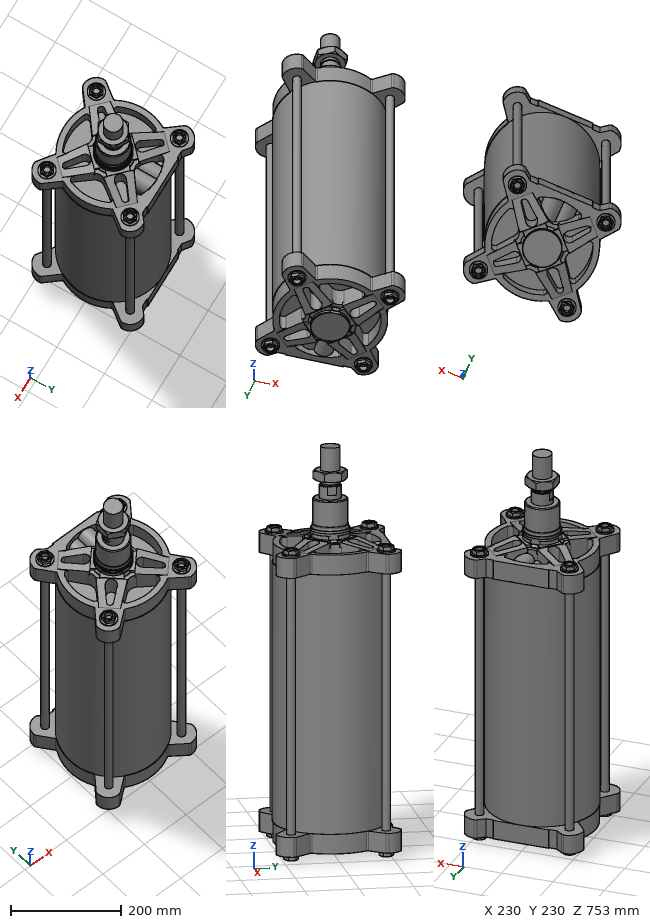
import cadquery as cq
import math

SPIGOT_HEIGHT = 6.0
BODY_LENGTH = 580.0
REAR_HUB_Z = SPIGOT_HEIGHT
FRONT_HUB_Z = REAR_HUB_Z + BODY_LENGTH
MID_Z = (REAR_HUB_Z + FRONT_HUB_Z) / 2
HUB_RISE = 11.0
COVER_TOP = FRONT_HUB_Z - HUB_RISE
COVER_HEIGHT = 37.0
COVER_BOTTOM = COVER_TOP - COVER_HEIGHT
SHOULDER_Z = FRONT_HUB_Z + 95.0
THREAD_LENGTH = 72.0
ROD_TOP = SHOULDER_Z + THREAD_LENGTH

BARREL_DIAMETER = 210.0
TIE_SPACING = 175.0
TIE_DIAMETER = 16.0
TIE_THREAD_CORE = 13.84
TIE_RADIUS = TIE_SPACING / math.sqrt(2)
TIE_AXES = [(x * TIE_SPACING / 2, y * TIE_SPACING / 2) for x in (-1, 1) for y in (-1, 1)]
SEAT_DIAMETER = 33.0
SEAT_HEIGHT = 2.5
TIE_NUT_FLATS = 24.0
TIE_NUT_CHAMFER_DIAMETER = 21.0

COVER_RADIUS = 104.0
EAR_RADIUS = 27.5
EAR_ROOT = 80.0
EAR_ROOT_HALF_WIDTH = 29.6
EAR_TIP_HALF_WIDTH = 21.5
EAR_TIP_FILLET = 8.0
EAR_ROOT_FILLET = 3.5
RIM_TOLERANCE = 0.5
PORT_FACE_Y = 105.0
PORT_FACE_HALF_WIDTH = 54.0
PORT_SIDE_Y = 103.0
PORT_SIDE_HALF_WIDTH = 70.0
PORT_BLOCK_START_Y = 80.0

POCKET_RADIUS = 92.0
POCKET_CORNER_RADIUS = 6.5
POCKET_DEPTH = 32.0
POCKET_INNER_RADIUS = 19.0
HUB_RADIUS = 50.0
HUB_TOP_DROP = 5.5
HUB_FOOT_RADIUS = 40.0
PAD_REACH = 41.0
PAD_HALF_WIDTH = 22.0

RIB_TOP_DROP = 1.5
RIB_START = 25.0
RIB_START_HALF_WIDTH = 30.8
RIB_END = 100.0
RIB_END_HALF_WIDTH = 19.7
RIB_SLOT_INNER_RADIUS = 11.0
RIB_SLOT_INNER_CENTER = 53.0
RIB_SLOT_OUTER_RADIUS = 6.5
RIB_SLOT_OUTER_CENTER = 88.0

BOSS_DIAMETER = 36.0
BOSS_START_Y = 40.0
PORT_BOSS_X = 13.0
PORT_BOSS_AXIS_DROP = 20.0
SCREW_BOSS_X = -16.0
SCREW_BOSS_AXIS_DROP = 30.0

SPIGOT_DIAMETER = 72.0
SPIGOT_GROOVE_DIAMETER = 71.0
FRONT_SPIGOT_HEIGHT = 16.0
SPIGOT_GROOVE_START = 7.0
SPIGOT_GROOVE_END = 11.5
SPIGOT_CHAMFER = 1.0
SPIGOT_FLAT_REACH = 34.8
SLEEVE_DIAMETER = 64.0
SLEEVE_COLLAR_DIAMETER = 66.0
SLEEVE_FOOT_DIAMETER = 68.0
SLEEVE_CONE_TOP = FRONT_HUB_Z + 20.5
SLEEVE_COLLAR_TOP = FRONT_HUB_Z + 23.0
SLEEVE_TOP = FRONT_HUB_Z + 71.0
SLEEVE_CHAMFER = 2.0

ROD_DIAMETER = 40.0
ROD_CHAMFER = 0.5
ROD_FLATS = 36.0
ROD_FLATS_LENGTH = 16.0
ROD_BORE_BOTTOM = COVER_BOTTOM
THREAD_DIAMETER = 36.0
RELIEF_DIAMETER = 33.84
RELIEF_LENGTH = 2.5
NUT_FLATS = 55.0
NUT_HEIGHT = 18.0
NUT_BOTTOM = SHOULDER_Z + 10.0
NUT_CHAMFER_DIAMETER = 55.0

QUARTER_TURNS = (0, 90, 180, 270)
DIAGONAL_ANGLE = 45
HEX_HALF_SECTOR = 30
HEX_CORNER_RATIO = 1 / math.cos(math.radians(HEX_HALF_SECTOR))
NUT_CHAMFER_ANGLE = 30
CHAMFER_SLOPE = math.tan(math.radians(NUT_CHAMFER_ANGLE))


def cylinder(diameter, bottom, top, x=0.0, y=0.0):
    return cq.Workplane("XY", origin=(x, y, bottom)).circle(diameter / 2).extrude(top - bottom)


def turned_copies(shape, first_angle):
    """Four copies of a shape drawn along +X, a quarter turn apart."""
    copies = cq.Workplane("XY")
    for turn in QUARTER_TURNS:
        copies = copies.add(shape.rotate((0, 0, 0), (0, 0, 1), first_angle + turn))
    return copies.combine()


def on_diagonals(shape):
    return turned_copies(shape, DIAGONAL_ANGLE)


def taper_outline(start, start_half_width, end, end_half_width, bottom):
    """Trapezoid along +X with its axis on the X axis."""
    corners = [
        (start, -start_half_width),
        (end, -end_half_width),
        (end, end_half_width),
        (start, start_half_width),
    ]
    return cq.Workplane("XY", origin=(0, 0, bottom)).polyline(corners).close()


def hexagon(flats, bottom, height):
    """Hexagonal prism with two flats facing +X and -X."""
    corner_diameter = flats * HEX_CORNER_RATIO
    prism = cq.Workplane("XY").polygon(6, corner_diameter).extrude(height)
    return prism.rotate((0, 0, 0), (0, 0, 1), HEX_HALF_SECTOR).translate((0, 0, bottom))


def chamfer_profile(flats, chamfer_diameter, bottom, height, both_ends):
    """Turned blank whose conical ends chamfer a hexagon's corners."""
    corner_radius = flats * HEX_CORNER_RATIO / 2
    end_radius = chamfer_diameter / 2
    rise = (corner_radius - end_radius) * CHAMFER_SLOPE
    top = bottom + height
    profile = cq.Workplane("XZ").moveTo(0, bottom)
    if both_ends:
        profile = profile.lineTo(end_radius, bottom).lineTo(corner_radius, bottom + rise)
    else:
        profile = profile.lineTo(corner_radius, bottom)
    profile = profile.lineTo(corner_radius, top - rise).lineTo(end_radius, top).lineTo(0, top)
    return profile.close().revolve(360, (0, 0, 0), (0, 1, 0))


def make_flange():
    tip = TIE_RADIUS + math.sqrt(EAR_RADIUS**2 - EAR_TIP_HALF_WIDTH**2)
    ear = (
        cq.Workplane("XY", origin=(0, 0, COVER_BOTTOM))
        .moveTo(EAR_ROOT, -EAR_ROOT_HALF_WIDTH)
        .lineTo(tip, -EAR_TIP_HALF_WIDTH)
        .threePointArc((TIE_RADIUS + EAR_RADIUS, 0), (tip, EAR_TIP_HALF_WIDTH))
        .lineTo(EAR_ROOT, EAR_ROOT_HALF_WIDTH)
        .close()
        .extrude(COVER_HEIGHT)
        .edges("|Z")
        .edges(">X")
        .fillet(EAR_TIP_FILLET)
    )
    disc = cylinder(2 * COVER_RADIUS, COVER_BOTTOM, COVER_TOP)
    flange = disc.union(on_diagonals(ear))

    def is_ear_root(edge):
        center = edge.Center()
        off_rim = abs(math.hypot(center.x, center.y) - COVER_RADIUS)
        return off_rim < RIM_TOLERANCE and center.y < PORT_BLOCK_START_Y

    flange = flange.edges("|Z").filter(is_ear_root).fillet(EAR_ROOT_FILLET)
    blocks = ((PORT_FACE_HALF_WIDTH, PORT_FACE_Y), (PORT_SIDE_HALF_WIDTH, PORT_SIDE_Y))
    for half_width, face_y in blocks:
        block = cq.Workplane("XY").box(
            2 * half_width, face_y - PORT_BLOCK_START_Y, COVER_HEIGHT, centered=(True, False, False)
        )
        flange = flange.union(block.translate((0, PORT_BLOCK_START_Y, COVER_BOTTOM)))
    return flange


def make_pockets():
    """Four pockets whose sides follow the rib sides, open to the front."""
    floor = COVER_TOP - POCKET_DEPTH
    rib_lean = (RIB_START_HALF_WIDTH - RIB_END_HALF_WIDTH) / (RIB_END - RIB_START)
    meeting = (RIB_START_HALF_WIDTH + rib_lean * RIB_START) / (1 + rib_lean)
    apex = meeting * math.sqrt(2)
    half_angle = math.radians(DIAGONAL_ANGLE) + math.atan(rib_lean)
    half_width = (POCKET_RADIUS - apex) * math.tan(half_angle)
    pocket = (
        cq.Workplane("XY", origin=(0, 0, floor))
        .polyline([(apex, 0), (POCKET_RADIUS, -half_width), (POCKET_RADIUS, half_width)])
        .close()
        .extrude(FRONT_HUB_Z - floor)
        .intersect(cylinder(2 * POCKET_RADIUS, floor, FRONT_HUB_Z))
    )
    pocket = pocket.edges("|Z").edges("<X").fillet(POCKET_INNER_RADIUS)
    pocket = pocket.edges("|Z").edges("<Y or >Y").fillet(POCKET_CORNER_RADIUS)
    return turned_copies(pocket, 0)


def make_bosses():
    """Two round-topped bosses running along Y through the pocket on the port side."""
    floor = COVER_TOP - POCKET_DEPTH
    radius = BOSS_DIAMETER / 2
    bosses = cq.Workplane("XY")
    for x, drop in ((PORT_BOSS_X, PORT_BOSS_AXIS_DROP), (SCREW_BOSS_X, SCREW_BOSS_AXIS_DROP)):
        axis_z = COVER_TOP - drop
        boss = (
            cq.Workplane("XZ", origin=(0, BOSS_START_Y, 0))
            .moveTo(x - radius, floor)
            .lineTo(x - radius, axis_z)
            .threePointArc((x, axis_z + radius), (x + radius, axis_z))
            .lineTo(x + radius, floor)
            .close()
            .extrude(BOSS_START_Y - POCKET_RADIUS)
        )
        bosses = bosses.add(boss)
    return bosses.combine()


def make_ribs():
    """Ribs whose tops slope down from the hub pads to the flange face."""
    outline = taper_outline(RIB_START, RIB_START_HALF_WIDTH, RIB_END, RIB_END_HALF_WIDTH, COVER_TOP)
    rib_top = FRONT_HUB_Z - RIB_TOP_DROP
    slope = (
        cq.Workplane("XZ", origin=(0, RIB_START_HALF_WIDTH, 0))
        .polyline([(PAD_REACH, COVER_TOP), (RIB_END, COVER_TOP), (PAD_REACH, rib_top)])
        .close()
        .extrude(2 * RIB_START_HALF_WIDTH)
    )
    return on_diagonals(outline.extrude(HUB_RISE).intersect(slope))


def make_rib_slots():
    """Tapered slots with round ends, one along each rib."""
    spacing = RIB_SLOT_OUTER_CENTER - RIB_SLOT_INNER_CENTER
    lean = math.asin((RIB_SLOT_INNER_RADIUS - RIB_SLOT_OUTER_RADIUS) / spacing)
    inner_x = RIB_SLOT_INNER_CENTER + RIB_SLOT_INNER_RADIUS * math.sin(lean)
    inner_y = RIB_SLOT_INNER_RADIUS * math.cos(lean)
    outer_x = RIB_SLOT_OUTER_CENTER + RIB_SLOT_OUTER_RADIUS * math.sin(lean)
    outer_y = RIB_SLOT_OUTER_RADIUS * math.cos(lean)
    slot = (
        cq.Workplane("XY", origin=(0, 0, COVER_TOP - POCKET_DEPTH))
        .moveTo(inner_x, -inner_y)
        .lineTo(outer_x, -outer_y)
        .threePointArc((RIB_SLOT_OUTER_CENTER + RIB_SLOT_OUTER_RADIUS, 0), (outer_x, outer_y))
        .lineTo(inner_x, inner_y)
        .threePointArc((RIB_SLOT_INNER_CENTER - RIB_SLOT_INNER_RADIUS, 0), (inner_x, -inner_y))
        .close()
        .extrude(POCKET_DEPTH + HUB_RISE)
    )
    return on_diagonals(slot)


def make_hub():
    core = cylinder(2 * HUB_RADIUS, COVER_TOP, FRONT_HUB_Z - HUB_TOP_DROP)
    pad = taper_outline(0, PAD_HALF_WIDTH, PAD_REACH, PAD_HALF_WIDTH, COVER_TOP).extrude(HUB_RISE)
    foot = (
        cylinder(2 * HUB_FOOT_RADIUS, COVER_TOP, FRONT_HUB_Z)
        .faces(">Z")
        .chamfer(HUB_FOOT_RADIUS - SPIGOT_DIAMETER / 2)
    )
    return core.union(foot).union(on_diagonals(pad))


def make_tie_ends():
    """Raised seat and chamfered nut with a countersunk thread hole on each ear."""
    seat_top = COVER_TOP + SEAT_HEIGHT
    nut_height = FRONT_HUB_Z - seat_top
    seat = cylinder(SEAT_DIAMETER, COVER_TOP, seat_top)
    nut = hexagon(TIE_NUT_FLATS, seat_top, nut_height).intersect(
        chamfer_profile(TIE_NUT_FLATS, TIE_NUT_CHAMFER_DIAMETER, seat_top, nut_height, both_ends=False)
    )
    thread_hole = cylinder(TIE_THREAD_CORE, COVER_TOP, FRONT_HUB_Z)
    tie_end = seat.union(nut).cut(thread_hole)
    hole_rims = tie_end.edges("%CIRCLE").edges(cq.selectors.RadiusNthSelector(0))
    tie_end = hole_rims.edges(">Z").chamfer((TIE_DIAMETER - TIE_THREAD_CORE) / 2)
    ends = cq.Workplane("XY")
    for x, y in TIE_AXES:
        ends = ends.add(tie_end.translate((x, y, 0)))
    return ends.combine()


def make_cover():
    cover = make_flange().union(make_ribs()).union(make_hub())
    cover = cover.cut(make_pockets()).union(make_bosses())
    return cover.cut(make_rib_slots()).union(make_tie_ends())


def cut_spigot_flats(spigot, bottom, top):
    """Four flats facing +X, +Y, -X and -Y between two heights."""
    side = 2 * SPIGOT_FLAT_REACH
    ring = cylinder(SPIGOT_DIAMETER, bottom, top)
    square = cq.Workplane("XY", origin=(0, 0, bottom)).rect(side, side).extrude(top - bottom)
    return spigot.cut(ring.cut(square))


def make_neck():
    spigot_radius = SPIGOT_DIAMETER / 2
    groove_radius = SPIGOT_GROOVE_DIAMETER / 2
    spigot_top = FRONT_HUB_Z + FRONT_SPIGOT_HEIGHT
    groove_bottom = FRONT_HUB_Z + SPIGOT_GROOVE_START
    groove_top = FRONT_HUB_Z + SPIGOT_GROOVE_END
    profile = [
        (0, COVER_TOP),
        (spigot_radius, COVER_TOP),
        (spigot_radius, groove_bottom),
        (groove_radius, groove_bottom),
        (groove_radius, groove_top),
        (spigot_radius, groove_top),
        (spigot_radius, spigot_top),
        (SLEEVE_FOOT_DIAMETER / 2, spigot_top),
        (SLEEVE_COLLAR_DIAMETER / 2, SLEEVE_CONE_TOP),
        (SLEEVE_COLLAR_DIAMETER / 2, SLEEVE_COLLAR_TOP),
        (SLEEVE_DIAMETER / 2, SLEEVE_COLLAR_TOP),
        (SLEEVE_DIAMETER / 2, SLEEVE_TOP - SLEEVE_CHAMFER),
        (SLEEVE_DIAMETER / 2 - SLEEVE_CHAMFER, SLEEVE_TOP),
        (0, SLEEVE_TOP),
    ]
    neck = cq.Workplane("XZ").polyline(profile).close().revolve(360, (0, 0, 0), (0, 1, 0))
    return cut_spigot_flats(neck, FRONT_HUB_Z, groove_top)


def make_housing():
    front_cover = make_cover()
    rear_cover = front_cover.mirror("XY", (0, 0, MID_Z))
    rear_spigot = cylinder(SPIGOT_DIAMETER, 0, REAR_HUB_Z + HUB_RISE).faces("<Z").chamfer(SPIGOT_CHAMFER)
    rear_spigot = cut_spigot_flats(rear_spigot, 0, REAR_HUB_Z)
    barrel_bottom = 2 * MID_Z - COVER_BOTTOM
    housing = cylinder(BARREL_DIAMETER, barrel_bottom, COVER_BOTTOM)
    for x, y in TIE_AXES:
        housing = housing.union(cylinder(TIE_DIAMETER, barrel_bottom, COVER_BOTTOM, x, y))
    housing = housing.union(front_cover).union(rear_cover).union(rear_spigot).union(make_neck())
    return housing.cut(cylinder(ROD_DIAMETER, ROD_BORE_BOTTOM, SLEEVE_TOP))


def make_rod():
    shank = cylinder(ROD_DIAMETER, ROD_BORE_BOTTOM, SHOULDER_Z).faces(">Z").chamfer(ROD_CHAMFER)
    flat_depth = (ROD_DIAMETER - ROD_FLATS) / 2
    for side in (-1, 1):
        cutter = cq.Workplane("XY").box(
            flat_depth, ROD_DIAMETER, ROD_FLATS_LENGTH, centered=(True, True, False)
        )
        x = side * (ROD_FLATS + flat_depth) / 2
        shank = shank.cut(cutter.translate((x, 0, SHOULDER_Z - ROD_FLATS_LENGTH)))
    relief = cylinder(RELIEF_DIAMETER, SHOULDER_Z, SHOULDER_Z + RELIEF_LENGTH)
    thread = (
        cylinder(THREAD_DIAMETER, SHOULDER_Z + RELIEF_LENGTH, ROD_TOP)
        .faces("<Z")
        .chamfer((THREAD_DIAMETER - RELIEF_DIAMETER) / 2)
    )
    return shank.union(relief).union(thread)


def make_rod_nut():
    blank = hexagon(NUT_FLATS, NUT_BOTTOM, NUT_HEIGHT).intersect(
        chamfer_profile(NUT_FLATS, NUT_CHAMFER_DIAMETER, NUT_BOTTOM, NUT_HEIGHT, both_ends=True)
    )
    return blank.cut(cylinder(THREAD_DIAMETER, NUT_BOTTOM, NUT_BOTTOM + NUT_HEIGHT))


housing = make_housing()
piston_rod = make_rod()
rod_nut = make_rod_nut()

result = cq.Compound.makeCompound([housing.val(), piston_rod.val(), rod_nut.val()])